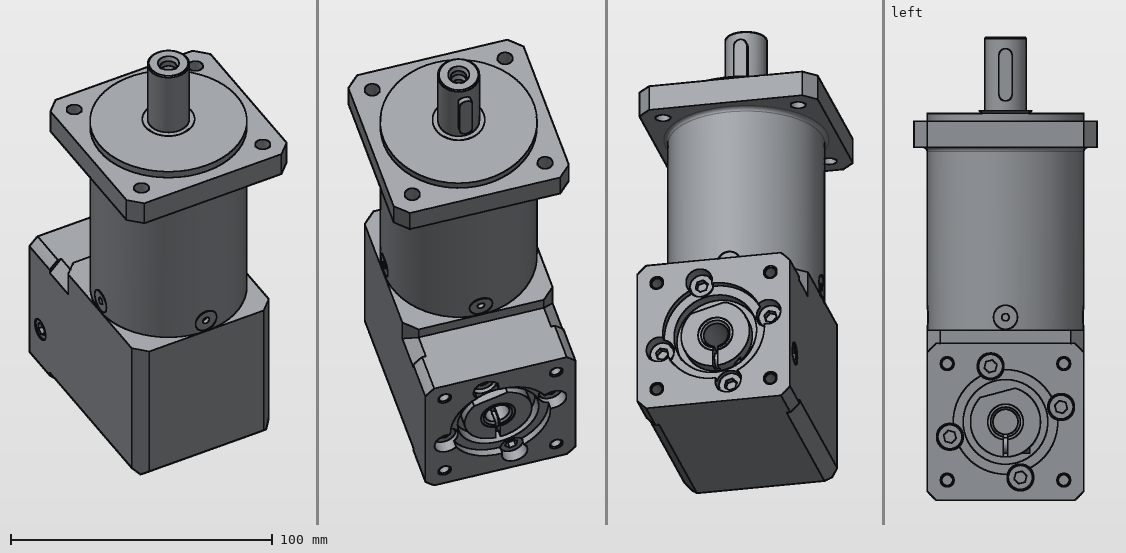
import cadquery as cq
import math


width = 60.0
half = width / 2
edge_chamfer = 5.0
housing_top = 65.0
adapter_front = -55.5
adapter_thickness = 16.0
adapter_back = adapter_front + adapter_thickness
input_height = half

adapter_corner_diameter = 80.0
bolt_circle_radius = 63.0 / 2
bolt_hole_diameter = 4.2
bolt_hole_mouth = 5.2
bolt_hole_depth = 12.0
pilot_recess_diameter = 40.0
pilot_recess_depth = 3.0
clamp_bore_diameter = 32.4
clamp_bore_depth = 5.0
clamp_ring_diameter = 26.8
clamp_flat_distance = 11.5
screw_tilt = 15.0
motor_bore_diameter = 9.6
motor_bore_mouth = 11.4
motor_bore_depth = 22.0
bore_rim_diameter = 13.6
bore_rim_depth = 0.3
clamp_slit_width = 1.8
clamp_slit_depth = 8.0
clamp_screw_diameter = 6.0
clamp_screw_head_y = -9.2
clamp_screw_tip_y = 4.0

cap_screw_count = 4
cap_screw_circle_radius = 22.0
counterbore_diameter = 10.2
counterbore_depth = 6.0
cap_head_diameter = 9.2
cap_head_height = 1.5
cap_socket_size = 5.0
cap_socket_depth = 2.5

access_plug_x = -47.0
access_plug_z = 21.0
access_plug_diameter = 8.6
access_plug_recess = 0.5
access_socket_size = 5.2
access_socket_depth = 3.0

body_radius = half
body_top = 135.0
body_fillet = 1.6
plug_height = 70.0
plug_diameter = 9.2
plug_flat_distance = math.sqrt(body_radius**2 - (plug_diameter / 2) ** 2)
plug_hole_diameter = 2.8
plug_hole_depth = 2.0

flange_width = 70.0
flange_thickness = 10.0
flange_chamfer = 5.0
flange_hole_diameter = 5.8
flange_hole_circle = 75.0
pilot_top = 148.0

collar_bottom_radius = 9.0
collar_top_radius = 10.0
collar_top = 149.0
shaft_radius = 8.0
shaft_top = 177.0
shaft_chamfer = 0.5
key_width = 5.0
key_length = 20.0
key_bottom = 152.7
key_height = 10.0
key_seat = 5.0
center_mouth_radius = 4.05
center_relief_radius = 3.1
center_relief_depth = 4.0
center_hole_radius = 2.1
center_hole_depth = 14.0
center_cone_half_angle = 30.0
drill_point_half_angle = 59.0


def cylinder_x(diameter, x_start, length, y=0.0, z=input_height):
    """Cylinder running along +X from x_start."""
    return cq.Workplane("YZ", origin=(x_start, y, z)).circle(diameter / 2).extrude(length)


def countersink_x(mouth_diameter, hole_diameter, x_start, y=0.0, z=input_height):
    """45 degree cone narrowing along +X from the mouth to the hole."""
    depth = (mouth_diameter - hole_diameter) / 2
    cone = cq.Solid.makeCone(
        mouth_diameter / 2, hole_diameter / 2, depth, cq.Vector(x_start, y, z), cq.Vector(1, 0, 0)
    )
    return cq.Workplane(cone)


def make_housing():
    tower = cq.Workplane("XY").rect(width, width).extrude(housing_top).edges("|Z").chamfer(edge_chamfer)
    for plane in ("XZ", "YZ"):
        profile = (
            cq.Workplane(plane)
            .moveTo(half - edge_chamfer, 0)
            .lineTo(half, edge_chamfer)
            .lineTo(half, housing_top)
            .lineTo(-half, housing_top)
            .lineTo(-half, edge_chamfer)
            .lineTo(edge_chamfer - half, 0)
            .close()
            .extrude(half, both=True)
        )
        tower = tower.intersect(profile)
    arm = (
        cq.Workplane("YZ", origin=(adapter_back, 0, half))
        .rect(width, width)
        .extrude(-adapter_back)
        .edges("|X")
        .chamfer(edge_chamfer)
    )
    return tower.union(arm)


def make_adapter():
    plate = (
        cq.Workplane("YZ", origin=(adapter_front, 0, half)).rect(width, width).extrude(adapter_thickness)
    )
    return plate.intersect(cylinder_x(adapter_corner_diameter, adapter_front, adapter_thickness))


def make_gear_body():
    """Round body, flaring with a fillet into the flange and reaching halfway into it."""
    rim_radius = body_radius + body_fillet
    arc_middle = body_fillet * (1 - math.sqrt(0.5))
    return (
        cq.Workplane("XZ")
        .moveTo(0, housing_top)
        .lineTo(body_radius, housing_top)
        .lineTo(body_radius, body_top - body_fillet)
        .threePointArc(
            (body_radius + arc_middle, body_top - arc_middle),
            (rim_radius, body_top),
        )
        .lineTo(rim_radius, body_top + flange_thickness / 2)
        .lineTo(0, body_top + flange_thickness / 2)
        .close()
        .revolve(360, (0, 0, 0), (0, 1, 0))
    )


def make_flange():
    hole_spacing = flange_hole_circle / math.sqrt(2)
    plate = (
        cq.Workplane("XY", origin=(0, 0, body_top))
        .rect(flange_width, flange_width)
        .extrude(flange_thickness)
        .edges("|Z")
        .chamfer(flange_chamfer)
        .faces(">Z")
        .workplane()
        .rect(hole_spacing, hole_spacing, forConstruction=True)
        .vertices()
        .hole(flange_hole_diameter)
    )
    pilot = cq.Workplane("XY", origin=(0, 0, body_top)).circle(body_radius).extrude(pilot_top - body_top)
    return plate.union(pilot)


def make_shaft():
    drill_point = center_hole_radius / math.tan(math.radians(drill_point_half_angle))
    cone_slope = math.tan(math.radians(center_cone_half_angle))
    mouth_cone_depth = (center_mouth_radius - center_relief_radius) / cone_slope
    inner_cone_depth = (center_relief_radius - center_hole_radius) / cone_slope
    shaft = (
        cq.Workplane("XZ")
        .moveTo(0, pilot_top)
        .lineTo(collar_bottom_radius, pilot_top)
        .lineTo(collar_top_radius, collar_top)
        .lineTo(shaft_radius, collar_top)
        .lineTo(shaft_radius, shaft_top - shaft_chamfer)
        .lineTo(shaft_radius - shaft_chamfer, shaft_top)
        .lineTo(center_mouth_radius, shaft_top)
        .lineTo(center_relief_radius, shaft_top - mouth_cone_depth)
        .lineTo(center_relief_radius, shaft_top - center_relief_depth)
        .lineTo(center_hole_radius, shaft_top - center_relief_depth - inner_cone_depth)
        .lineTo(center_hole_radius, shaft_top - center_hole_depth)
        .lineTo(0, shaft_top - center_hole_depth - drill_point)
        .close()
        .revolve(360, (0, 0, 0), (0, 1, 0))
    )
    key = (
        cq.Workplane("YZ", origin=(-key_height, 0, key_bottom + key_length / 2))
        .slot2D(key_length, key_width, 90)
        .extrude(key_height - key_seat)
    )
    return shaft.union(key)


def cut_body_plugs(part):
    """Flat round plugs with a small hole, on four sides of the gear body."""
    for angle in range(0, 360, 90):
        flat = cylinder_x(plug_diameter, plug_flat_distance, plug_diameter, z=plug_height)
        hole = cylinder_x(
            plug_hole_diameter, plug_flat_distance - plug_hole_depth, plug_diameter, z=plug_height
        )
        part = part.cut(flat.union(hole).rotate((0, 0, 0), (0, 0, 1), angle))
    return part


def cut_bolt_holes(part):
    offset = bolt_circle_radius / math.sqrt(2)
    for y in (-offset, offset):
        for z in (input_height - offset, input_height + offset):
            part = part.cut(cylinder_x(bolt_hole_diameter, adapter_front, bolt_hole_depth, y, z))
            part = part.cut(countersink_x(bolt_hole_mouth, bolt_hole_diameter, adapter_front, y, z))
    return part


def cut_motor_clamp(part):
    """Pilot recess with the slit clamp ring standing in a bore behind it."""
    recess_floor = adapter_front + pilot_recess_depth
    part = part.cut(cylinder_x(pilot_recess_diameter, adapter_front, pilot_recess_depth))

    flat_side = (
        cq.Workplane("YZ", origin=(recess_floor, 0, input_height))
        .center(0, clamp_flat_distance - clamp_ring_diameter / 2)
        .rect(clamp_ring_diameter, clamp_ring_diameter)
        .extrude(clamp_bore_depth)
        .rotate((0, 0, input_height), (1, 0, input_height), -screw_tilt)
    )
    ring = cylinder_x(clamp_ring_diameter, recess_floor, clamp_bore_depth).intersect(flat_side)
    part = part.cut(cylinder_x(clamp_bore_diameter, recess_floor, clamp_bore_depth).cut(ring))

    part = part.cut(cylinder_x(bore_rim_diameter, recess_floor, bore_rim_depth))
    part = part.cut(cylinder_x(motor_bore_diameter, recess_floor, motor_bore_depth))
    mouth_start = recess_floor + bore_rim_depth
    part = part.cut(countersink_x(motor_bore_mouth, motor_bore_diameter, mouth_start))

    slit_length = clamp_ring_diameter / 2
    slit = (
        cq.Workplane("YZ", origin=(recess_floor, 0, input_height - slit_length / 2))
        .rect(clamp_slit_width, slit_length)
        .extrude(clamp_slit_depth)
    )
    part = part.cut(slit)

    screw = (
        cq.Workplane("XZ", origin=(access_plug_x, clamp_screw_tip_y, access_plug_z))
        .circle(clamp_screw_diameter / 2)
        .extrude(clamp_screw_tip_y - clamp_screw_head_y)
    )
    return part.union(screw)


def cut_cap_screws(part):
    """Counterbores holding cap screw heads with hexagon sockets."""
    floor = adapter_front + counterbore_depth
    head_top = floor - cap_head_height
    z = input_height + cap_screw_circle_radius
    counterbore = cylinder_x(counterbore_diameter, adapter_front, counterbore_depth, z=z)
    head = cylinder_x(cap_head_diameter, head_top, cap_head_height, z=z)
    socket = (
        cq.Workplane("YZ", origin=(head_top, 0, z)).polygon(6, cap_socket_size).extrude(cap_socket_depth)
    )
    pocket = counterbore.cut(head).union(socket)
    for index in range(cap_screw_count):
        angle = index * 360 / cap_screw_count - screw_tilt
        part = part.cut(pocket.rotate((0, 0, input_height), (1, 0, input_height), angle))
    return part


def cut_access_plug(part):
    """Shallow recess with a hexagon socket on the -Y side of the adapter."""
    side = cq.Workplane("XZ", origin=(access_plug_x, -half, access_plug_z))
    recess = side.circle(access_plug_diameter / 2).extrude(-access_plug_recess)
    socket = side.transformed(rotate=(0, 0, 90)).polygon(6, access_socket_size).extrude(-access_socket_depth)
    return part.cut(recess).cut(socket)


result = make_housing().union(make_adapter())
result = result.union(make_gear_body()).union(make_flange()).union(make_shaft())
result = cut_body_plugs(result)
result = cut_bolt_holes(result)
result = cut_motor_clamp(result)
result = cut_cap_screws(result)
result = cut_access_plug(result)